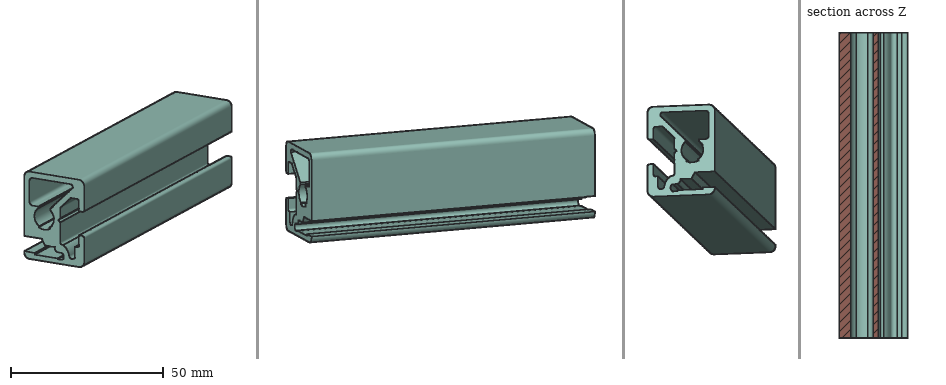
import cadquery as cq
import math

length = 100.0
width = 22.5
height = 30.0
corner_radius = 2.0

wall = 2.0
cavity_floor = 18.5
cavity_radius = 1.2
cavity_tip_radius = 0.9
cavity_tip_x = 18.2
brace_foot_x = 9.8
channel_x = 7.5
slot_z = height / 2
channel_radius = 3.65
relief_radius = 4.1
relief_half_angle = math.radians(30)
left_lip_x = 5.3

lip_inner_x = width - wall
slot_half_opening = 4.1
slot_half_height = 8.3
slot_floor_x = 13.5
slot_ceiling_x = 17.5
slot_radius = 0.8
notch_size = 0.7
slot_top = slot_z + slot_half_height
slot_bottom = slot_z - slot_half_height
opening_top = slot_z + slot_half_opening
opening_bottom = slot_z - slot_half_opening

groove_left_x = 16.8
groove_right_x = 19.0
groove_bottom = 2.4
groove_radius = (groove_right_x - groove_left_x) / 2
shoulder_x = 14.6
shoulder_bend_x = 16.0
shoulder_bend_z = 5.4

mouth_top = 7.6
mouth_bottom = 2.4
mouth_step_x = 6.6
lead_in_x = 7.8
throat_top = 5.5
throat_bottom = 1.8
throat_end_x = 11.5
step_bend_x = 11.7
step_bend_z = 4.5
bulb_start_x = 12.5
bulb_round_x = 14.0
bulb_tip_x = 14.8
bulb_top = 3.9
bulb_bottom = 1.5
tongue_step_x = 4.0


def extrude(profile):
    """Run a section drawn in X and Z along the whole length in Y."""
    return profile.close().extrude(-length)


def round_edges(body, radius, *points):
    """Fillet the lengthwise edges that lie closest to the given section points."""
    edges = body
    nearest = None
    for x, z in points:
        pick = edges.edges("|Y").edges(cq.NearestToPointSelector((x, length / 2, z)))
        nearest = pick if nearest is None else nearest.add(pick)
    return nearest.fillet(radius)


def upper_cavity():
    top = height - wall
    brace_top_z = cavity_floor + cavity_tip_x - brace_foot_x
    cavity = extrude(
        cq.Workplane("XZ")
        .moveTo(wall, cavity_floor)
        .lineTo(wall, top)
        .lineTo(cavity_tip_x, top)
        .lineTo(cavity_tip_x, brace_top_z)
        .lineTo(brace_foot_x, cavity_floor)
    )
    cavity = round_edges(cavity, cavity_radius, (wall, cavity_floor), (wall, top))
    return round_edges(cavity, cavity_tip_radius, (cavity_tip_x, top))


def screw_channel():
    bore = cq.Workplane("XZ").center(channel_x, slot_z).circle(channel_radius).extrude(-length)
    relief_x = relief_radius * math.sin(relief_half_angle)
    relief_z = slot_z - relief_radius * math.cos(relief_half_angle)
    relief = extrude(
        cq.Workplane("XZ")
        .moveTo(channel_x, slot_z)
        .lineTo(channel_x - relief_x, relief_z)
        .threePointArc((channel_x, slot_z - relief_radius), (channel_x + relief_x, relief_z))
    )
    neck = extrude(
        cq.Workplane("XZ")
        .moveTo(left_lip_x, cavity_floor)
        .lineTo(brace_foot_x, cavity_floor)
        .lineTo(brace_foot_x, slot_z + math.sqrt(channel_radius**2 - (brace_foot_x - channel_x) ** 2))
        .lineTo(channel_x, slot_z)
        .lineTo(left_lip_x, slot_z + math.sqrt(channel_radius**2 - (left_lip_x - channel_x) ** 2))
    )
    return bore.union(relief).union(neck)


def t_slot():
    slope_foot_z = slot_top - (slot_ceiling_x - slot_floor_x)
    slot = extrude(
        cq.Workplane("XZ")
        .moveTo(width, opening_top)
        .lineTo(lip_inner_x, opening_top)
        .lineTo(lip_inner_x, slot_top)
        .lineTo(slot_ceiling_x, slot_top)
        .lineTo(slot_floor_x, slope_foot_z)
        .lineTo(slot_floor_x, slot_z + notch_size)
        .lineTo(slot_floor_x - notch_size, slot_z)
        .lineTo(slot_floor_x, slot_z - notch_size)
        .lineTo(slot_floor_x, slot_bottom)
        .lineTo(shoulder_x, slot_bottom)
        .threePointArc(
            (shoulder_bend_x, shoulder_bend_z),
            (groove_left_x, groove_bottom + groove_radius),
        )
        .threePointArc(
            (groove_left_x + groove_radius, groove_bottom),
            (groove_right_x, groove_bottom + groove_radius),
        )
        .lineTo(groove_right_x, slot_bottom)
        .lineTo(lip_inner_x, slot_bottom)
        .lineTo(lip_inner_x, opening_bottom)
        .lineTo(width, opening_bottom)
    )
    return round_edges(
        slot,
        slot_radius,
        (lip_inner_x, slot_top),
        (lip_inner_x, slot_bottom),
        (slot_floor_x, slot_bottom),
        (slot_floor_x, slope_foot_z),
    )


def panel_slot():
    bulb_middle = (bulb_top + bulb_bottom) / 2
    return extrude(
        cq.Workplane("XZ")
        .moveTo(0, mouth_bottom)
        .lineTo(0, mouth_top)
        .lineTo(mouth_step_x, mouth_top)
        .lineTo(lead_in_x, throat_top)
        .lineTo(throat_end_x, throat_top)
        .threePointArc((step_bend_x, step_bend_z), (bulb_start_x, bulb_top))
        .lineTo(bulb_round_x, bulb_top)
        .threePointArc((bulb_tip_x, bulb_middle), (bulb_round_x, bulb_bottom))
        .lineTo(bulb_start_x, bulb_bottom)
        .lineTo(bulb_start_x, throat_bottom)
        .lineTo(tongue_step_x, throat_bottom)
        .lineTo(tongue_step_x, mouth_bottom)
    )


blank = cq.Workplane("XY").box(width, length, height, centered=False)
body = blank.edges("|Y").fillet(corner_radius)
body = body.cut(upper_cavity()).cut(screw_channel()).cut(t_slot()).cut(panel_slot())
result = round_edges(body, slot_radius, (width, opening_top), (width, opening_bottom))